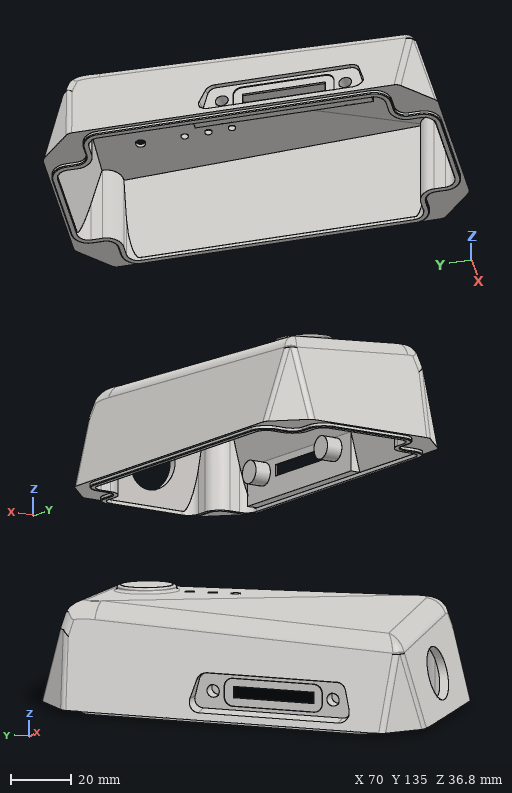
import cadquery as cq
import math

length_x = 70.0
length_y = 135.0
ridge_height = 35.0
draft_angle = 15.0
top_tilt = 5.0
corner_cut = 11.3
facet_edge_radius = 3.0
low_corner_radius = facet_edge_radius
high_corner_radius = 5.0
top_edge_radius = 7.0
wall = 3.0

lip_height = 1.25
lip_gap = 1.15
lip_thickness = 1.9
lip_chamfer = 0.3
notch_size = 13.8
notch_outer_radius = 5.9
notch_inner_radius = 4.0

cable_hole_diameter = 17.46
cable_hole_z = 13.9

button_x = 9.35
button_y = 41.6
button_base_diameter = 19.8
button_height = 1.94
button_base_fillet = 1.0
button_rim_fillet = 0.8
dish_diameter = 17.46
dish_depth = 3.5
button_hole_diameter = 3.3
light_hole_diameter = 2.4
light_recess_diameter = 3.2
light_recess_depth = 1.0
light_first_y = 26.5
light_pitch = 8.05
light_count = 3

connector_y = -16.0
connector_z = 9.1
pocket_floor_x = -29.5
pocket_bottom_z = 3.1
pocket_top_z = 15.2
pocket_bottom_width = 56.8
pocket_side_angle = 14.5
pocket_corner_radius = 3.0
pocket_taper = 8.0
backing_thickness = 1.2
backing_margin = 2.0
recess_width = 34.4
recess_height = 9.5
recess_depth = 0.4
recess_radius = 3.0
slot_width = 28.2
slot_height = 3.8
screw_spacing = 42.1
screw_hole_diameter = 4.3
screw_hole_depth = 5.0
screw_boss_diameter = 8.0
screw_boss_length = 7.0

half_x = length_x / 2
half_y = length_y / 2
draft_slope = math.tan(math.radians(draft_angle))
top_half_x = half_x - ridge_height * draft_slope
top_half_y = half_y - ridge_height * draft_slope
cutter_size = 4 * length_y

ridge_length = math.hypot(top_half_x, top_half_y)
tilt_sin = math.sin(math.radians(top_tilt))
tilt_cos = math.cos(math.radians(top_tilt))
top_normal = cq.Vector(tilt_sin * top_half_y / ridge_length, tilt_sin * top_half_x / ridge_length, tilt_cos)

low_corner_height = ridge_height - 2 * top_half_x * top_normal.x / top_normal.z
facet_top_z = low_corner_height - top_edge_radius * (1 - math.sin(math.radians(draft_angle)))


def space_beyond(point, normal):
    """Large block on the outer side of a plane."""
    plane = cq.Plane(origin=point.toTuple(), normal=normal.toTuple())
    return cq.Workplane(plane).rect(cutter_size, cutter_size).extrude(cutter_size)


def drafted_block(inset):
    """Drafted block with two sloping top faces, its faces moved inwards by inset."""
    base_inset = inset / math.cos(math.radians(draft_angle))
    block = (
        cq.Workplane("XY")
        .rect(length_x - 2 * base_inset, length_y - 2 * base_inset)
        .extrude(ridge_height, taper=draft_angle)
    )
    for side in (1, -1):
        normal = cq.Vector(side * top_normal.x, side * top_normal.y, top_normal.z)
        ridge_point = cq.Vector(0, 0, ridge_height) - normal * inset
        block = block.cut(space_beyond(ridge_point, normal))
    return block


def is_top_edge(edge):
    """True for the four edges around the top, but not for the ridge through the centre."""
    lowest = min(vertex.Z for vertex in edge.Vertices())
    is_ridge = math.hypot(edge.Center().x, edge.Center().y) < top_edge_radius
    return lowest > facet_top_z and not is_ridge


def is_corner_edge(edge, low):
    """True for an edge rising from the base at a low (or high) top corner."""
    heights = [vertex.Z for vertex in edge.Vertices()]
    rises = min(heights) < facet_top_z / 2 < max(heights)
    return rises and (edge.Center().x * edge.Center().y > 0) == low


def round_edges(body, wanted, radius):
    """Fillet the edges for which wanted(edge) is true."""
    edges = [edge for edge in body.val().Edges() if wanted(edge)]
    return body.newObject(edges).fillet(radius)


def faceted_outline(z):
    """Rounded octagon of the lower body at height z; each facet narrows towards its top corner."""
    hx = half_x - z * draft_slope
    hy = half_y - z * draft_slope
    low_cut = corner_cut * (1 - z / low_corner_height)
    high_cut = corner_cut * (1 - z / ridge_height)
    points = [
        (hx, hy - low_cut),
        (hx - low_cut, hy),
        (high_cut - hx, hy),
        (-hx, hy - high_cut),
        (-hx, low_cut - hy),
        (low_cut - hx, -hy),
        (hx - high_cut, -hy),
        (hx, high_cut - hy),
    ]
    outline = cq.Sketch().polygon(points + points[:1]).vertices().fillet(facet_edge_radius)
    return outline.moved(cq.Location(cq.Vector(0, 0, z)))


def outer_body():
    """Rounded drafted block with a tapering facet on each corner below the top rounding."""
    body = round_edges(drafted_block(0), is_top_edge, top_edge_radius)
    body = round_edges(body, lambda edge: is_corner_edge(edge, True), low_corner_radius)
    body = round_edges(body, lambda edge: is_corner_edge(edge, False), high_corner_radius)
    faceted = cq.Workplane("XY").placeSketch(faceted_outline(0), faceted_outline(facet_top_z)).loft()
    slab = cq.Workplane("XY").rect(2 * length_x, 2 * length_y).extrude(facet_top_z)
    return body.cut(slab.cut(faceted))


def notched_prism(inset, bottom_z, top_z):
    """Prism of the lip outline, moved inwards by inset, with a notch at each corner."""
    hx = half_x - lip_gap - inset
    hy = half_y - lip_gap - inset
    outer_radius = notch_outer_radius - inset
    inner_radius = notch_inner_radius + inset
    cross = cq.Workplane("XY", origin=(0, 0, bottom_z))
    notch_x = 2 * (hx - notch_size)
    notch_y = 2 * (hy - notch_size)
    height = top_z - bottom_z
    lengthwise = cross.rect(notch_x, 2 * hy).extrude(height).edges("|Z").fillet(outer_radius)
    crosswise = cross.rect(2 * hx, notch_y).extrude(height).edges("|Z").fillet(outer_radius)
    margin = outer_radius / 2
    inner_corners = cq.selectors.BoxSelector(
        (-notch_x / 2 - margin, -notch_y / 2 - margin, bottom_z),
        (notch_x / 2 + margin, notch_y / 2 + margin, top_z),
    )
    return lengthwise.union(crosswise).edges("|Z").edges(inner_corners).fillet(inner_radius)


def shell():
    """Hollow housing, open below, with the lip around the opening."""
    cavity = drafted_block(wall).intersect(notched_prism(lip_thickness, 0, ridge_height))
    opening = notched_prism(lip_thickness, -lip_height, 0)
    lip = notched_prism(0, -lip_height, 0).faces("<Z").edges().chamfer(lip_chamfer)
    return outer_body().cut(cavity).union(lip.cut(opening))


def add_connector(body):
    """Flared pocket with a recessed slot and two blind screw holes, backed up on the inside."""
    pocket_height = pocket_top_z - pocket_bottom_z
    pocket_z = (pocket_top_z + pocket_bottom_z) / 2
    floor_plane = cq.Workplane(
        cq.Plane(origin=(pocket_floor_x, connector_y, connector_z), xDir=(0, 1, 0), normal=(1, 0, 0))
    )
    screw_points = [(-screw_spacing / 2, 0), (screw_spacing / 2, 0)]

    backing_width = pocket_bottom_width + 2 * backing_margin
    backing_top = pocket_top_z + backing_margin
    backing_depth = half_x + pocket_floor_x + backing_thickness
    backing = (
        cq.Workplane("XY")
        .box(backing_depth, backing_width, backing_top, centered=(False, True, False))
        .translate((-half_x, connector_y, 0))
    )
    screw_centres = floor_plane.pushPoints(screw_points)
    bosses = screw_centres.circle(screw_boss_diameter / 2).extrude(screw_boss_length)
    body = body.union(backing.intersect(drafted_block(0))).union(bosses)

    narrowing = pocket_height * math.tan(math.radians(pocket_side_angle))
    bottom = pocket_bottom_width / 2
    top = bottom - narrowing
    floor_outline = (
        cq.Sketch()
        .polygon(
            [
                (bottom, -pocket_height / 2),
                (top, pocket_height / 2),
                (-top, pocket_height / 2),
                (-bottom, -pocket_height / 2),
                (bottom, -pocket_height / 2),
            ]
        )
        .vertices()
        .fillet(pocket_corner_radius)
    )
    outward = cq.Plane(origin=(pocket_floor_x, connector_y, pocket_z), xDir=(0, -1, 0), normal=(-1, 0, 0))
    pocket_depth = half_x + pocket_floor_x
    pocket = cq.Workplane(outward).placeSketch(floor_outline).extrude(pocket_depth, taper=-pocket_taper)

    recess = floor_plane.rect(recess_width, recess_height).extrude(recess_depth)
    recess = recess.edges("|X").fillet(recess_radius)
    slot = floor_plane.rect(slot_width, slot_height).extrude(screw_boss_length)
    screw_holes = screw_centres.circle(screw_hole_diameter / 2).extrude(screw_hole_depth)
    return body.cut(pocket).cut(recess).cut(slot).cut(screw_holes)


def add_cable_hole(body):
    """Straight round hole along y through the -Y wall."""
    cutter = (
        cq.Workplane("XZ", origin=(0, 0, cable_hole_z))
        .circle(cable_hole_diameter / 2)
        .extrude(half_y)
    )
    return body.cut(cutter)


def top_height(x, y):
    """Height of the +X +Y top face above a point of the base plane."""
    return ridge_height - (top_normal.x * x + top_normal.y * y) / top_normal.z


def add_button(body):
    """Round raised rim standing square to the sloping top, with a conical dish and a hole."""
    centre = (button_x, button_y, top_height(button_x, button_y))
    top_plane = cq.Workplane(cq.Plane(origin=centre, normal=top_normal.toTuple()))
    base = button_base_diameter / 2
    rim = base - button_rim_fillet
    flare = base + button_base_fillet
    diagonal = math.sqrt(0.5)
    across = cq.Vector(top_normal.z, 0, -top_normal.x)
    profile = cq.Plane(
        origin=centre,
        xDir=across.toTuple(),
        normal=across.cross(top_normal).toTuple(),
    )
    raised_rim = (
        cq.Workplane(profile)
        .moveTo(0, -wall / 2)
        .lineTo(flare, -wall / 2)
        .lineTo(flare, 0)
        .threePointArc(
            (flare - button_base_fillet * diagonal, button_base_fillet * (1 - diagonal)),
            (base, button_base_fillet),
        )
        .lineTo(base, button_height - button_rim_fillet)
        .threePointArc(
            (rim + button_rim_fillet * diagonal, button_height - button_rim_fillet * (1 - diagonal)),
            (rim, button_height),
        )
        .lineTo(0, button_height)
        .close()
        .revolve(360, (0, 0, 0), (0, 1, 0))
    )
    dish = (
        cq.Workplane(profile)
        .moveTo(0, button_height)
        .lineTo(dish_diameter / 2, button_height)
        .lineTo(button_hole_diameter / 2, button_height - dish_depth)
        .lineTo(0, button_height - dish_depth)
        .close()
        .revolve(360, (0, 0, 0), (0, 1, 0))
    )
    hole = top_plane.circle(button_hole_diameter / 2).extrude(2 * wall, both=True)
    return body.union(raised_rim).cut(dish).cut(hole)


def add_light_holes(body):
    """Row of stepped indicator holes, straight down through the top."""
    for i in range(light_count):
        y = light_first_y - i * light_pitch
        surface_z = top_height(button_x, y)
        recess_floor = cq.Workplane("XY", origin=(button_x, y, surface_z - light_recess_depth))
        recess = recess_floor.circle(light_recess_diameter / 2).extrude(2 * light_recess_depth)
        hole = recess_floor.circle(light_hole_diameter / 2).extrude(-2 * wall)
        body = body.cut(recess).cut(hole)
    return body


result = shell()
result = add_connector(result)
result = add_cable_hole(result)
result = add_button(result)
result = add_light_holes(result)